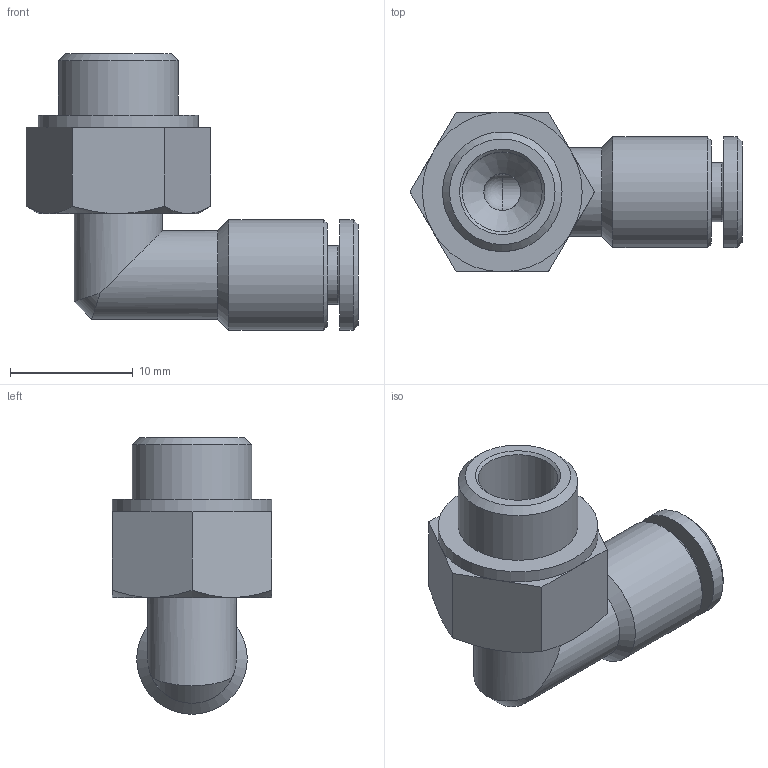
import math

import cadquery as cq


hex_across_flats = 13.0
hex_bottom_z = 5.0
hex_top_z = 12.0
hex_chamfer_angle = 30.0
collar_diameter = 13.0
collar_top_z = 13.0
thread_diameter = 9.73
thread_top_z = 18.0
thread_chamfer = 0.57

pipe_radius = 7.2 / 2
pipe_overlap = 1.0
corner_leg = 1.43
corner_bulge = 3.39
corner_cut_start = 1.5

sleeve_radius = 9.0 / 2
shoulder_end_x = 9.0
sleeve_end_x = 17.0
sleeve_chamfer = 0.3
neck_radius = 4.8 / 2
neck_flare = 0.1
neck_flare_length = 0.14
button_start_x = 18.0
button_end_x = 19.5
button_chamfer = 0.4

bore_radius = 6.49 / 2
bore_mouth_chamfer = 0.23
bore_bottom_z = 8.0
bore_cone_half_angle = 45.0
channel_radius = 3.0 / 2
tube_socket_radius = 4.0 / 2


def revolve_about_z(points):
    """Solid of revolution about Z from (radius, z) points."""
    return cq.Workplane("XZ").polyline(points).close().revolve(360, (0, 0), (0, 1))


def revolve_about_x(points):
    """Solid of revolution about X from (x, radius) points."""
    return cq.Workplane("XZ").polyline(points).close().revolve(360, (0, 0), (1, 0))


def make_elbow():
    """Two equal pipes mitred on the diagonal, with the outer corner rounded off."""
    top_z = hex_bottom_z + pipe_overlap
    path = cq.Workplane("XZ").moveTo(0, top_z).lineTo(0, 0).lineTo(shoulder_end_x, 0)
    pipe_section = cq.Workplane("XY").workplane(offset=top_z).circle(pipe_radius)
    elbow = pipe_section.sweep(path, transition="right")

    corner_reach = (2 * pipe_radius - corner_leg) / math.sqrt(2)
    bulge_centre = corner_reach - corner_bulge
    cutter_size = 4 * pipe_radius
    diagonal_plane = cq.Plane(origin=(0, 0, 0), xDir=(-1, 0, -1), normal=(1, 0, -1))
    cutter_base = cq.Workplane(diagonal_plane).workplane(offset=-cutter_size / 2)
    outside = cutter_base.center(corner_cut_start + cutter_size / 2, 0)
    outside = outside.rect(cutter_size, cutter_size).extrude(cutter_size)
    bulge = cutter_base.center(bulge_centre, 0)
    bulge = bulge.ellipse(corner_bulge, pipe_radius).extrude(cutter_size)
    return elbow.cut(outside.cut(bulge))


def make_hexagon():
    """Hexagon with corners on the X axis, its lower corners turned to a cone."""
    corner_radius = hex_across_flats / math.sqrt(3)
    flat_radius = hex_across_flats / 2
    chamfer_rise = (corner_radius - flat_radius) * math.tan(math.radians(hex_chamfer_angle))
    prism = cq.Workplane("XY").workplane(offset=hex_bottom_z)
    prism = prism.polygon(6, 2 * corner_radius).extrude(hex_top_z - hex_bottom_z)
    turned_blank = revolve_about_z([
        (0, hex_bottom_z),
        (flat_radius, hex_bottom_z),
        (corner_radius, hex_bottom_z + chamfer_rise),
        (corner_radius, hex_top_z),
        (0, hex_top_z),
    ])
    return prism.intersect(turned_blank)


def make_threaded_end():
    """Sealing collar and plain thread cylinder with a chamfered tip."""
    thread_radius = thread_diameter / 2
    return revolve_about_z([
        (0, hex_top_z),
        (collar_diameter / 2, hex_top_z),
        (collar_diameter / 2, collar_top_z),
        (thread_radius, collar_top_z),
        (thread_radius, thread_top_z - thread_chamfer),
        (thread_radius - thread_chamfer, thread_top_z),
        (0, thread_top_z),
    ])


def make_push_in_end():
    """Sleeve with a conical shoulder, then the neck and release button."""
    shoulder_start_x = shoulder_end_x - (sleeve_radius - pipe_radius)
    return revolve_about_x([
        (shoulder_start_x, 0),
        (shoulder_start_x, pipe_radius),
        (shoulder_end_x, sleeve_radius),
        (sleeve_end_x - sleeve_chamfer, sleeve_radius),
        (sleeve_end_x, sleeve_radius - sleeve_chamfer),
        (sleeve_end_x, neck_radius),
        (button_start_x - neck_flare_length, neck_radius),
        (button_start_x, neck_radius + neck_flare),
        (button_start_x, sleeve_radius),
        (button_end_x - button_chamfer, sleeve_radius),
        (button_end_x, sleeve_radius - button_chamfer),
        (button_end_x, 0),
    ])


def make_passage():
    """Thread bore tapering to a channel that turns at a ball corner into the tube socket."""
    cone_height = (bore_radius - channel_radius) / math.tan(math.radians(bore_cone_half_angle))
    upright = revolve_about_z([
        (0, 0),
        (channel_radius, 0),
        (channel_radius, bore_bottom_z - cone_height),
        (bore_radius, bore_bottom_z),
        (bore_radius, thread_top_z - bore_mouth_chamfer),
        (bore_radius + bore_mouth_chamfer, thread_top_z),
        (0, thread_top_z),
    ])
    level = revolve_about_x([
        (0, 0),
        (0, channel_radius),
        (shoulder_end_x, channel_radius),
        (shoulder_end_x, tube_socket_radius),
        (button_end_x, tube_socket_radius),
        (button_end_x, 0),
    ])
    ball_corner = cq.Workplane("XY").sphere(channel_radius)
    return upright.union(level).union(ball_corner)


body = make_elbow().union(make_hexagon()).union(make_threaded_end()).union(make_push_in_end())
result = body.cut(make_passage())